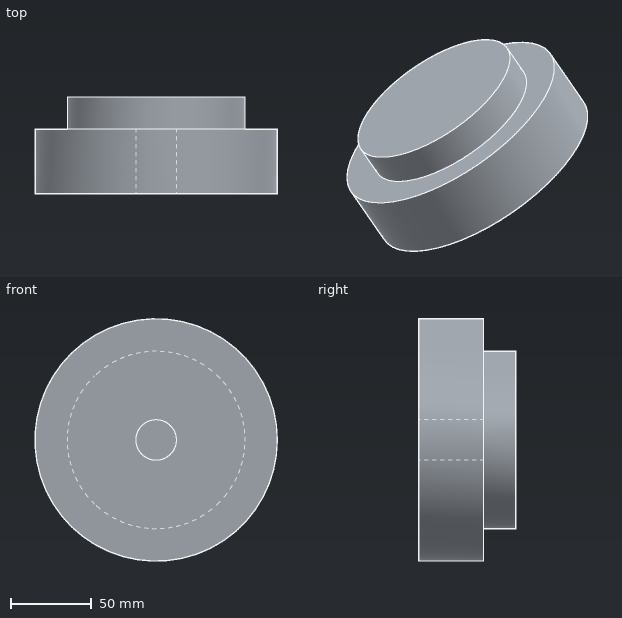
import cadquery as cq

disc_diameter = 150.0
total_length = 60.0
disc_thickness = 40.0
boss_diameter = 110.0
hole_diameter = 25.0
hole_depth = disc_thickness


def cylinder_along_y(diameter, length):
    """Cylinder on the Y axis, from the front face (Y = 0) towards +Y."""
    return cq.Workplane("XZ").circle(diameter / 2).extrude(-length)


disc = cylinder_along_y(disc_diameter, disc_thickness)
boss = cylinder_along_y(boss_diameter, total_length)

centre_hole = cylinder_along_y(hole_diameter, hole_depth)

result = disc.union(boss).cut(centre_hole)